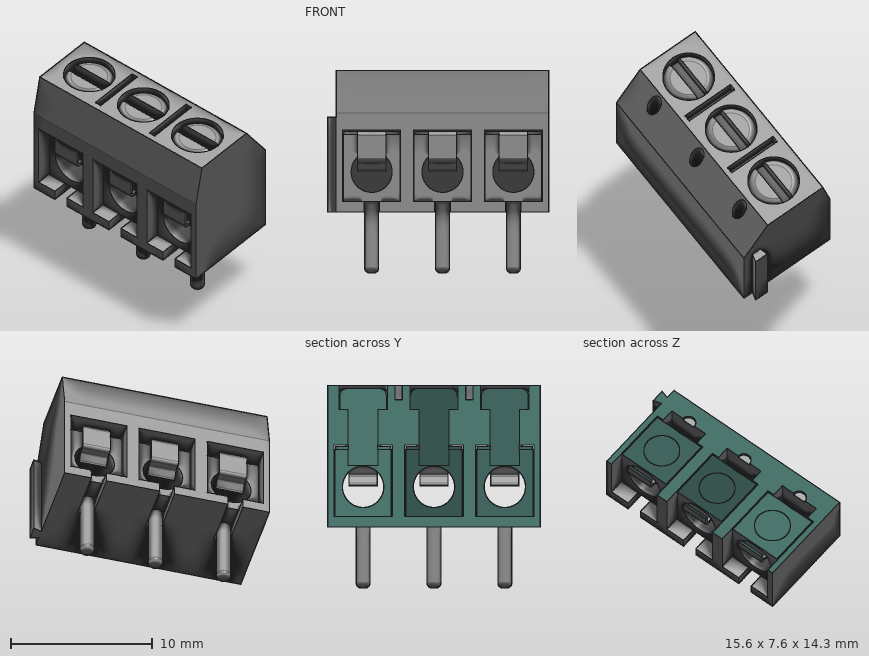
import cadquery as cq
import math


pole_count = 3
pitch = 5.0
screw_y = 3.1
pole_xs = [(i - (pole_count - 1) / 2) * pitch for i in range(pole_count)]

housing_length = pole_count * pitch
housing_depth = 7.6
housing_height = 10.0
knee_height = 7.0
front_lean = 0.64
back_lean = 2.09

overall_length = 15.6
rail_reach = overall_length - housing_length
rail_height = 6.71
rail_outer_width = 1.03
rail_root_width = 0.69
rail_y = 6.5

cage_width = 4.0
floor_thickness = 0.76
cage_height = 4.73
cage_top = floor_thickness + cage_height
cage_front = screw_y - cage_width / 2
cage_back = screw_y + cage_width / 2
wire_hole_diameter = 2.9
wire_hole_z = 2.84

pin_diameter = 1.0
pin_length = 4.3
pin_tip_radius = 0.37

chamber_clearance = 0.055
chamber_width = cage_width + 2 * chamber_clearance
chamber_ceiling = 5.79
chamber_back = cage_back + chamber_clearance
recess_width = 3.03
recess_back = 6.13
pin_slot_width = 1.1

head_diameter = 3.6
head_bore_diameter = 3.65
shank_diameter = 2.5
head_sink = 0.2
head_height = 1.5
head_edge_radius = 0.5
driver_slot_width = 0.81
driver_slot_depth = 1.0
head_top = housing_height - head_sink
head_bottom = head_top - head_height
shank_bottom = 4.37

divider_slot_width = 0.5
divider_slot_length = 4.01
divider_slot_depth = 1.0
probe_hole_diameter = 1.0
probe_hole_y = 6.13
probe_hole_floor = 4.21

sheet = 0.2
plate_width = 3.88
tongue_width = 2.0
plate_taper = 0.55
tongue_front = 0.56
shoulder_bend_radius = 0.2
bend_radius = 0.15
tongue_bend_z = 3.79
shelf_run = 0.39
shelf_angle = 10
ramp_drop = 0.44
ramp_angle = 56
tip_drop = 0.12
tip_angle = 66


def box(width, y_start, y_end, z_start, z_end, x=0):
    """Block centred on x in the X direction."""
    return cq.Workplane("XY").box(width, y_end - y_start, z_end - z_start, (True, False, False)).translate(
        (x, y_start, z_start)
    )


def upright_cylinder(diameter, x, y, z_start, z_end):
    return cq.Workplane("XY", origin=(x, y, z_start)).circle(diameter / 2).extrude(z_end - z_start)


def make_housing():
    profile = [
        (0, 0),
        (housing_depth, 0),
        (housing_depth, knee_height),
        (housing_depth - back_lean, housing_height),
        (front_lean, housing_height),
        (0, knee_height),
    ]
    housing = cq.Workplane("YZ").polyline(profile).close().extrude(housing_length / 2, both=True)

    root_x = -housing_length / 2
    outer_x = root_x - rail_reach
    rail = (
        cq.Workplane("XY")
        .polyline(
            [
                (root_x, rail_y - rail_root_width / 2),
                (root_x, rail_y + rail_root_width / 2),
                (outer_x, rail_y + rail_outer_width / 2),
                (outer_x, rail_y - rail_outer_width / 2),
            ]
        )
        .close()
        .extrude(rail_height)
    )
    housing = housing.union(rail)

    for x in pole_xs:
        housing = housing.cut(box(chamber_width, 0, chamber_back, floor_thickness, chamber_ceiling, x))
        housing = housing.cut(box(recess_width, chamber_back, recess_back, floor_thickness, chamber_ceiling, x))
        slot_end = screw_y + pin_slot_width / 2
        housing = housing.cut(box(pin_slot_width, 0, slot_end, 0, floor_thickness, x))
        housing = housing.cut(upright_cylinder(head_bore_diameter, x, screw_y, head_bottom, housing_height))
        housing = housing.cut(upright_cylinder(shank_diameter, x, screw_y, chamber_ceiling, head_bottom))
        housing = housing.cut(
            upright_cylinder(probe_hole_diameter, x, probe_hole_y, probe_hole_floor, housing_height)
        )

    for left_x, right_x in zip(pole_xs, pole_xs[1:]):
        housing = housing.cut(
            box(
                divider_slot_width,
                screw_y - divider_slot_length / 2,
                screw_y + divider_slot_length / 2,
                housing_height - divider_slot_depth,
                housing_height,
                (left_x + right_x) / 2,
            )
        )
    return housing


def make_clamp(x):
    """Cage with the wire hole, the screw bore and the solder pin."""
    cage = box(cage_width, cage_front, cage_back, floor_thickness, cage_top, x)
    wire_hole = (
        cq.Workplane("XZ", origin=(x, cage_front, wire_hole_z)).circle(wire_hole_diameter / 2).extrude(-cage_width)
    )
    pin = upright_cylinder(pin_diameter, x, screw_y, -pin_length, floor_thickness)
    pin = pin.faces("<Z").edges().fillet(pin_tip_radius)
    screw_bore = upright_cylinder(shank_diameter, x, screw_y, shank_bottom, cage_top)
    return cage.cut(wire_hole).cut(screw_bore).union(pin)


def make_screw(x):
    head = upright_cylinder(head_diameter, x, screw_y, head_bottom, head_top)
    head = head.faces(">Z").edges().fillet(head_edge_radius)
    driver_slot = box(
        head_diameter,
        screw_y - driver_slot_width / 2,
        screw_y + driver_slot_width / 2,
        head_top - driver_slot_depth,
        head_top,
        x,
    )
    shank = upright_cylinder(shank_diameter, x, screw_y, shank_bottom, head_bottom)
    return head.cut(driver_slot).union(shank)


def after_bend(start, descent_before, descent_after, radius):
    """Point in (Y, Z) where a bend ends that turns one descent, in degrees, into another."""
    before = math.radians(descent_before)
    after = math.radians(descent_after)
    return (
        start[0] + radius * abs(math.sin(after) - math.sin(before)),
        start[1] - radius * abs(math.cos(after) - math.cos(before)),
    )


def make_wire_guard(x):
    """Plate on top of the cage and the bent tongue, with a hole for the screw."""
    taper_end = cage_front + plate_taper
    plate = (
        cq.Workplane("XY", origin=(x, 0, cage_top))
        .polyline(
            [
                (-tongue_width / 2, cage_front),
                (tongue_width / 2, cage_front),
                (plate_width / 2, taper_end),
                (plate_width / 2, cage_back),
                (-plate_width / 2, cage_back),
                (-plate_width / 2, taper_end),
            ]
        )
        .close()
        .extrude(sheet)
        .cut(upright_cylinder(shank_diameter, x, screw_y, cage_top, cage_top + sheet))
    )

    upright_y = tongue_front + sheet / 2
    plate_z = cage_top + sheet / 2
    shelf_start = after_bend((upright_y, tongue_bend_z), 90, shelf_angle, bend_radius)
    shelf_end = (
        shelf_start[0] + shelf_run,
        shelf_start[1] - shelf_run * math.tan(math.radians(shelf_angle)),
    )
    ramp_start = after_bend(shelf_end, shelf_angle, ramp_angle, bend_radius)
    ramp_end = (ramp_start[0] + ramp_drop / math.tan(math.radians(ramp_angle)), ramp_start[1] - ramp_drop)
    tip_bend_radius = tip_drop / (math.cos(math.radians(ramp_angle)) - math.cos(math.radians(tip_angle)))
    tip = after_bend(ramp_end, ramp_angle, tip_angle, tip_bend_radius)
    middle_line = (
        cq.Workplane("YZ", origin=(x, 0, 0))
        .moveTo(cage_front, plate_z)
        .lineTo(upright_y + shoulder_bend_radius, plate_z)
        .tangentArcPoint((upright_y, plate_z - shoulder_bend_radius), relative=False)
        .lineTo(upright_y, tongue_bend_z)
        .tangentArcPoint(shelf_start, relative=False)
        .lineTo(*shelf_end)
        .tangentArcPoint(ramp_start, relative=False)
        .lineTo(*ramp_end)
        .tangentArcPoint(tip, relative=False)
    )
    tongue = cq.Workplane("XZ", origin=(x, cage_front, plate_z)).rect(tongue_width, sheet).sweep(middle_line)
    return plate.union(tongue)


housing = make_housing()
clamps = [make_clamp(x) for x in pole_xs]
screws = [make_screw(x) for x in pole_xs]
wire_guards = [make_wire_guard(x) for x in pole_xs]

bodies = [housing, *clamps, *screws, *wire_guards]
result = cq.Compound.makeCompound([body.solids().val() for body in bodies])